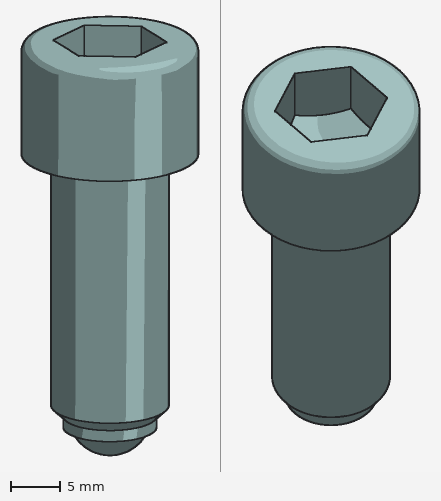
import cadquery as cq
import math

total_length = 44.0
head_diameter = 18.0
head_height = 12.0
head_fillet = 1.2
shank_diameter = 12.0
neck_diameter = 9.5
neck_height = 1.2
chamfer_height = 1.2
hex_across_flats = 10.0
hex_depth = 6.0
drill_point_angle = 120.0
ball_diameter = 8.5
ball_protrusion = 2.8

head_radius = head_diameter / 2
shank_radius = shank_diameter / 2
neck_radius = neck_diameter / 2
ball_radius = ball_diameter / 2
hex_corner_radius = hex_across_flats / math.sqrt(3)
drill_point_depth = hex_corner_radius / math.tan(math.radians(drill_point_angle / 2))
ball_bottom_z = head_height - total_length
ball_center_z = ball_bottom_z + ball_radius
neck_bottom_z = ball_bottom_z + ball_protrusion
chamfer_bottom_z = neck_bottom_z + neck_height
chamfer_top_z = chamfer_bottom_z + chamfer_height


def make_ball():
    """Thrust ball held captive in the tip of the screw."""
    return cq.Workplane("XY").sphere(ball_radius).translate((0, 0, ball_center_z))


def make_hex_socket():
    """Hexagonal prism with corners on X, ending in a conical drill point."""
    prism = (
        cq.Workplane("XY", origin=(0, 0, head_height))
        .polygon(6, 2 * hex_corner_radius)
        .extrude(-hex_depth)
    )
    floor_z = head_height - hex_depth
    drill_point = (
        cq.Workplane("XZ")
        .moveTo(0, floor_z)
        .lineTo(hex_corner_radius, floor_z)
        .lineTo(0, floor_z - drill_point_depth)
        .close()
        .revolve(360, (0, 0, 0), (0, 1, 0))
    )
    hex_column = (
        cq.Workplane("XY", origin=(0, 0, floor_z))
        .polygon(6, 2 * hex_corner_radius)
        .extrude(-drill_point_depth)
    )
    return prism.union(drill_point.intersect(hex_column))


def make_screw():
    """Socket head screw with a chamfered shank end, a neck and a ball seat."""
    blank = (
        cq.Workplane("XZ")
        .moveTo(0, head_height)
        .lineTo(head_radius, head_height)
        .lineTo(head_radius, 0)
        .lineTo(shank_radius, 0)
        .lineTo(shank_radius, chamfer_top_z)
        .lineTo(neck_radius, chamfer_bottom_z)
        .lineTo(neck_radius, neck_bottom_z)
        .lineTo(0, neck_bottom_z)
        .close()
        .revolve(360, (0, 0, 0), (0, 1, 0))
    )
    rounded = blank.faces(">Z").edges().fillet(head_fillet)
    return rounded.cut(make_hex_socket()).cut(make_ball())


screw = make_screw()
ball = make_ball()

result = cq.Compound.makeCompound([screw.solids().val(), ball.val()])